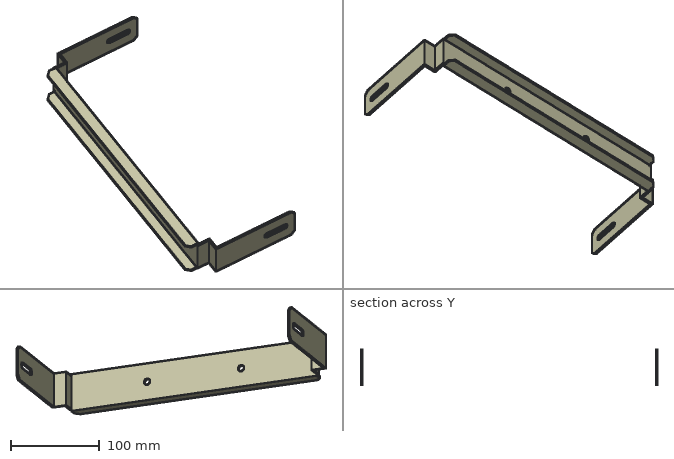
import cadquery as cq

length = 334.0
depth = 132.0
height = 44.0

sheet = 2.0
step_width = 15.0
step_front = 27.0
flange_depth = 14.0
corner_cut = 5.0

hole_diameter = 7.0
hole_spacing = 115.0
slot_length = 30.0
slot_width = 7.0
slot_end_margin = 10.0

strip_height = height - 2 * sheet
web_length = length - 2 * step_width
flange_length = web_length - 2 * sheet
web_front = flange_depth - sheet
step_back = step_front + sheet


def box_between(x_min, x_max, y_min, y_max):
    """Upright plate of the strip height, centred on Z = 0."""
    return (
        cq.Workplane("XY")
        .box(x_max - x_min, y_max - y_min, strip_height)
        .translate(((x_min + x_max) / 2, (y_min + y_max) / 2, 0))
    )


def make_web():
    """Front plate with its two round holes."""
    web = box_between(-web_length / 2, web_length / 2, web_front, flange_depth)
    holes = (
        cq.Workplane("XZ")
        .pushPoints([(-hole_spacing / 2, 0), (hole_spacing / 2, 0)])
        .circle(hole_diameter / 2)
        .extrude(-depth)
    )
    return web.cut(holes)


def make_flange(bottom):
    """Flat lip reaching forward from the web, with cut front corners."""
    return (
        cq.Workplane("XY")
        .box(flange_length, flange_depth, sheet, centered=(True, False, False))
        .edges("|Z and <Y")
        .chamfer(corner_cut)
        .translate((0, 0, bottom))
    )


def make_left_arm():
    """Return plate, step plate and slotted arm at the left end."""
    outer = -length / 2
    web_end = -web_length / 2
    return_plate = box_between(web_end, web_end + sheet, web_front, step_back)
    step = box_between(outer, web_end + sheet, step_front, step_back)
    arm = box_between(outer, outer + sheet, step_front, depth)
    arm = arm.edges("|X and >Y").chamfer(corner_cut)
    slot_centre = depth - slot_end_margin - slot_length / 2
    slot = (
        cq.Workplane("YZ", origin=(outer, slot_centre, 0))
        .slot2D(slot_length, slot_width)
        .extrude(sheet)
    )
    return return_plate.union(step).union(arm.cut(slot))


left_arm = make_left_arm()
result = make_web().union(left_arm).union(left_arm.mirror("YZ"))
for flange_bottom in (strip_height / 2, -height / 2):
    result = result.union(make_flange(flange_bottom))